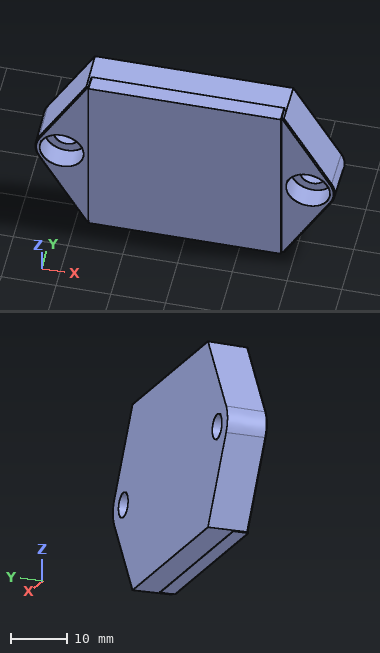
import cadquery as cq
import math

LENGTH = 55.0
HEIGHT = 35.2
HOUSING_DEPTH = 7.75
TIP_RADIUS = 5.0
LUG_ANGLE = 30.0
DRAFT_ANGLE = 1.0
FRONT_CHAMFER = 0.2

SCREW_HOLE_DIAMETER = 4.6
COUNTERBORE_DIAMETER = 8.05
COUNTERBORE_DEPTH = 3.95

TOTAL_DEPTH = 8.0
COVER_WIDTH = 35.1
COVER_THICKNESS = 2.9
SIDE_CLEARANCE = 0.1

HOUSING_FRONT = -HOUSING_DEPTH
COVER_FRONT = -TOTAL_DEPTH
COVER_BACK = COVER_FRONT + COVER_THICKNESS
HOLE_X = LENGTH / 2 - TIP_RADIUS
HALF_HEIGHT = HEIGHT / 2


def drafted_hexagon():
    """Solid elongated hexagon with rounded tips, largest at the back face."""
    angle = math.radians(LUG_ANGLE)
    tangent_x = HOLE_X + TIP_RADIUS * math.cos(angle)
    tangent_z = TIP_RADIUS * math.sin(angle)
    corner_x = tangent_x - (HALF_HEIGHT - tangent_z) * math.tan(angle)
    return (
        cq.Workplane("XZ")
        .moveTo(-corner_x, HALF_HEIGHT)
        .lineTo(corner_x, HALF_HEIGHT)
        .lineTo(tangent_x, tangent_z)
        .threePointArc((LENGTH / 2, 0), (tangent_x, -tangent_z))
        .lineTo(corner_x, -HALF_HEIGHT)
        .lineTo(-corner_x, -HALF_HEIGHT)
        .lineTo(-tangent_x, -tangent_z)
        .threePointArc((-LENGTH / 2, 0), (-tangent_x, tangent_z))
        .close()
        .extrude(HOUSING_DEPTH, taper=DRAFT_ANGLE)
    )


def cover_recess():
    """Slot across the front of the housing, open at the top and the bottom."""
    return (
        cq.Workplane("XZ", origin=(0, COVER_BACK, 0))
        .rect(COVER_WIDTH + 2 * SIDE_CLEARANCE, HEIGHT)
        .extrude(COVER_THICKNESS)
    )


def make_housing():
    return (
        drafted_hexagon()
        .faces("<Y")
        .chamfer(FRONT_CHAMFER)
        .cut(cover_recess())
        .copyWorkplane(cq.Workplane("XZ", origin=(0, HOUSING_FRONT, 0)))
        .pushPoints([(-HOLE_X, 0), (HOLE_X, 0)])
        .cboreHole(SCREW_HOLE_DIAMETER, COUNTERBORE_DIAMETER, COUNTERBORE_DEPTH)
    )


def make_cover():
    """Plate as tall as the drafted housing is where the plate's back rests."""
    draft_inset = -COVER_BACK * math.tan(math.radians(DRAFT_ANGLE))
    return (
        cq.Workplane("XZ", origin=(0, COVER_BACK, 0))
        .rect(COVER_WIDTH, HEIGHT - 2 * draft_inset)
        .extrude(COVER_THICKNESS)
    )


housing = make_housing()
cover = make_cover()
result = cq.Compound.makeCompound([housing.val(), cover.val()])